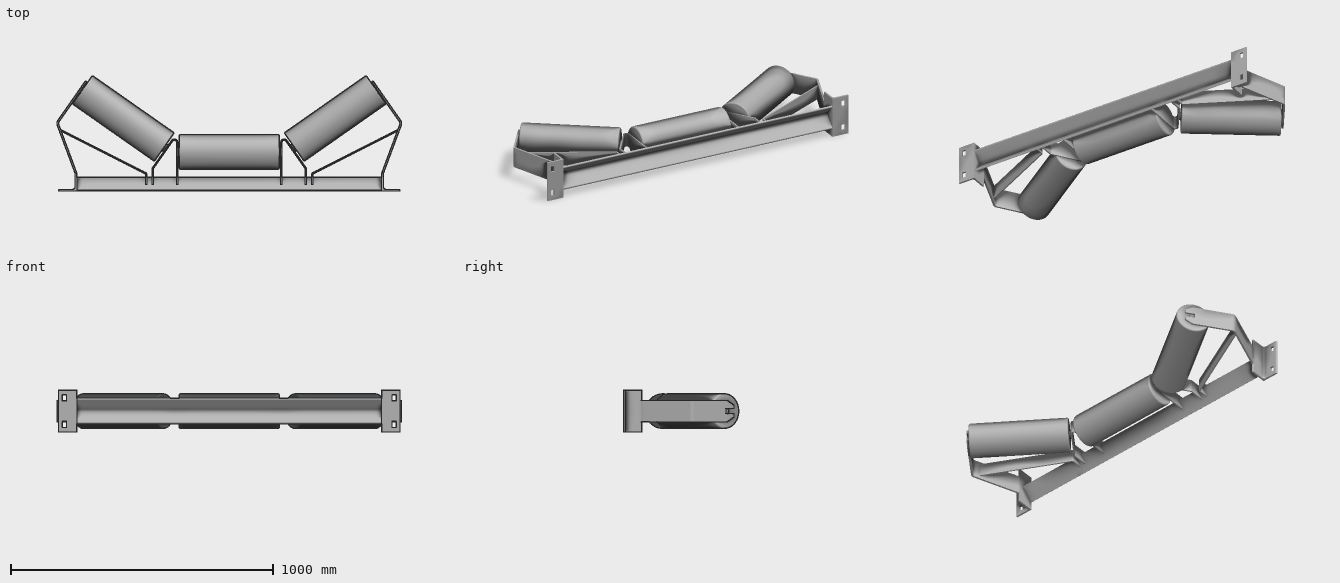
import cadquery as cq
import math


overall_length = 1313.0
half_length = overall_length / 2

roller_length = 380.0
roller_diameter = 133.0
rim_fillet = 5.0
shaft_diameter = 32.0
trough_angle = 35.0
centre_roller_y = 150.0
side_roller_x = 403.0
side_roller_y = 277.0
outer_gap = 3.0
inner_gap = 8.0
centre_gap = 5.0

angle_leg = 70.0
angle_thickness = 7.2
angle_root_radius = 9.0
angle_toe_radius = 4.0
beam_half_length = 580.0
beam_apex_y = 54.0

foot_height = 160.0
arm_width = 81.0
knee_outer_radius = 20.0
tip_above_shaft = 34.0
tip_width = 47.0
tip_taper_length = 29.0
shaft_slot_width = 20.0
shaft_slot_depth = 38.0
bolt_slot_width = 16.0
bolt_slot_height = 24.0
bolt_slot_x = 627.0
bolt_slot_z = 50.0

strip_thickness = 5.0
strip_width = 55.0
inner_bend_radius = 10.0
small_bend_radius = 5.0
inner_leg_x = 291.0
brace_leg_x = 316.0
brace_bend_y = 67.0
brace_end_y = 234.0

trough = math.radians(trough_angle)
along = cq.Vector(math.cos(trough), -math.sin(trough))
up = cq.Vector(math.sin(trough), math.cos(trough))
side_roller_centre = cq.Vector(-side_roller_x, side_roller_y)
outer_shaft_reach = roller_length / 2 + outer_gap
inner_shaft_reach = roller_length / 2 + inner_gap
centre_shaft_reach = roller_length / 2 + centre_gap

knee_radius = knee_outer_radius - angle_thickness / 2
arm_mid_reach = outer_shaft_reach + angle_thickness / 2
foot_mid_x = -beam_half_length - angle_thickness / 2
arm_start = cq.Vector(foot_mid_x, angle_leg)
knee_centre_x = -half_length + knee_outer_radius
knee_rise = (
    arm_mid_reach - knee_radius + (knee_centre_x + side_roller_x) * along.x
) / -along.y
knee_centre = cq.Vector(knee_centre_x, side_roller_y + knee_rise)
arm_run = knee_centre - arm_start
arm_tilt = math.atan2(-arm_run.x, arm_run.y) + math.asin(knee_radius / arm_run.Length)
knee_bisector = (trough - arm_tilt) / 2
knee_reach = knee_radius / math.cos((trough + arm_tilt) / 2)
knee = knee_centre + cq.Vector(-math.cos(knee_bisector), math.sin(knee_bisector)) * knee_reach
arm_shaft_point = side_roller_centre - along * arm_mid_reach
arm_tip = arm_shaft_point + up * tip_above_shaft


def mirror_to_side(body, side):
    """Return a body built on the left (side -1), or its mirror image on the right."""
    return body if side < 0 else body.mirror("YZ")


def bent_strip(points, bend_radii, thickness, width):
    """Flat strip along a mid-line of straight runs, with a round bend at each inner point."""
    points = [cq.Vector(point) for point in points]
    runs = [(end - start).normalized() for start, end in zip(points, points[1:])]
    normals = [cq.Vector(-run.y, run.x) for run in runs]

    def edge(offset):
        """One face of the strip: its start, its bends as (start, middle, end), and its end."""
        bends = []
        for i, radius in enumerate(bend_radii):
            turn = math.atan2(runs[i].cross(runs[i + 1]).z, runs[i].dot(runs[i + 1]))
            tangent_length = radius * math.tan(abs(turn) / 2)
            side = math.copysign(1, turn)
            first = points[i + 1] - runs[i] * tangent_length
            last = points[i + 1] + runs[i + 1] * tangent_length
            centre = first + normals[i] * (side * radius)
            middle_normal = (normals[i] + normals[i + 1]).normalized()
            middle = centre - middle_normal * (side * radius)
            bends.append((
                first + normals[i] * offset,
                middle + middle_normal * offset,
                last + normals[i + 1] * offset,
            ))
        return points[0] + normals[0] * offset, bends, points[-1] + normals[-1] * offset

    start, bends, end = edge(thickness / 2)
    outline = cq.Workplane("XY").moveTo(start.x, start.y)
    for first, middle, last in bends:
        outline = outline.lineTo(first.x, first.y)
        outline = outline.threePointArc((middle.x, middle.y), (last.x, last.y))
    outline = outline.lineTo(end.x, end.y)

    start, bends, end = edge(-thickness / 2)
    outline = outline.lineTo(end.x, end.y)
    for first, middle, last in reversed(bends):
        outline = outline.lineTo(last.x, last.y)
        outline = outline.threePointArc((middle.x, middle.y), (first.x, first.y))
    outline = outline.lineTo(start.x, start.y)
    return outline.close().extrude(width / 2, both=True)


def angle_bar(length):
    """Rolled angle with its outer corner on the origin and its legs along +X and +Y."""
    bar = (
        cq.Workplane("XY")
        .polyline([
            (0, 0),
            (angle_leg, 0),
            (angle_leg, angle_thickness),
            (angle_thickness, angle_thickness),
            (angle_thickness, angle_leg),
            (0, angle_leg),
        ])
        .close()
        .extrude(length / 2, both=True)
    )
    inner_corner = (angle_thickness, angle_thickness, 0)
    bar = bar.edges(cq.NearestToPointSelector(inner_corner)).fillet(angle_root_radius)
    for toe in [(angle_leg, angle_thickness, 0), (angle_thickness, angle_leg, 0)]:
        bar = bar.edges(cq.NearestToPointSelector(toe)).fillet(angle_toe_radius)
    return bar



def roller():
    end_plane = cq.Workplane("YZ").workplane(offset=-roller_length / 2)
    cylinder = end_plane.circle(roller_diameter / 2).extrude(roller_length).edges().fillet(rim_fillet)
    bore = end_plane.circle(shaft_diameter / 2).extrude(roller_length)
    return cylinder.cut(bore)


def shaft(left_reach, right_reach):
    """Plain round shaft reaching from one supporting plate to the other."""
    return (
        cq.Workplane("YZ")
        .workplane(offset=-left_reach)
        .circle(shaft_diameter / 2)
        .extrude(left_reach + right_reach)
    )


def place_on_side(body, side):
    tilted = body.rotate((0, 0, 0), (0, 0, 1), -trough_angle).translate(side_roller_centre)
    return mirror_to_side(tilted, side)



def inner_bracket():
    """Bent strip between the centre roller and the left side roller."""
    upright_x = -centre_shaft_reach - strip_thickness / 2
    sloped_base = side_roller_centre + along * (inner_shaft_reach + strip_thickness / 2)

    def sloped_point(x):
        return sloped_base + up * ((x - sloped_base.x) / up.x)

    return bent_strip(
        [(-inner_leg_x, 0), sloped_point(-inner_leg_x), sloped_point(upright_x), (upright_x, 0)],
        [small_bend_radius, inner_bend_radius],
        strip_thickness,
        strip_width,
    )


def brace():
    """Bent strip from the beam to the lower arm of the left end support."""
    end_x = foot_mid_x - (brace_end_y - angle_leg) * math.tan(arm_tilt)
    strip = bent_strip(
        [(-brace_leg_x, 0), (-brace_leg_x, brace_bend_y), (end_x, brace_end_y)],
        [small_bend_radius],
        strip_thickness,
        strip_width,
    )
    return strip.cut(arm())


def cross_beam():
    bar = (
        angle_bar(2 * beam_half_length)
        .rotate((0, 0, 0), (0, 0, 1), -135)
        .rotate((0, 0, 0), (0, 1, 0), 90)
        .translate((0, beam_apex_y, 0))
    )
    below_bar = (
        cq.Workplane("YZ")
        .polyline([(beam_apex_y, 0), (0, beam_apex_y), (0, -beam_apex_y)])
        .close()
        .extrude(beam_half_length, both=True)
    )
    for side in (-1, 1):
        for strip in (inner_bracket(), brace()):
            bar = bar.union(mirror_to_side(strip.cut(below_bar), side))
    return bar



def arm():
    return bent_strip(
        [(foot_mid_x, angle_leg / 2), arm_start, knee, arm_tip],
        [small_bend_radius, knee_radius],
        angle_thickness,
        arm_width,
    )


def arm_tip_cuts():
    """Tapered corners and the open shaft slot, cut straight through the arm tip."""
    tip_plane = cq.Plane(origin=arm_tip.toTuple(), xDir=(0, 0, -1), normal=along.toTuple())
    slot = (
        cq.Workplane(tip_plane)
        .rect(shaft_slot_width, 2 * shaft_slot_depth)
        .extrude(angle_thickness, both=True)
    )
    tip_edge = tip_width / 2
    side_edge = arm_width / 2
    corner = (
        cq.Workplane(tip_plane)
        .polyline([(tip_edge, 0), (side_edge, 0), (side_edge, -tip_taper_length)])
        .close()
        .extrude(angle_thickness, both=True)
    )
    return slot.union(corner).union(corner.mirror("XY"))


def end_support(side):
    foot = angle_bar(foot_height).mirror("YZ").translate((-beam_half_length, 0, 0))
    bolt_slots = (
        cq.Workplane("XZ")
        .pushPoints([(-bolt_slot_x, -bolt_slot_z), (-bolt_slot_x, bolt_slot_z)])
        .rect(bolt_slot_width, bolt_slot_height)
        .extrude(angle_leg / 2, both=True)
    )
    support = foot.cut(bolt_slots).union(arm().cut(arm_tip_cuts()))
    return mirror_to_side(support, side)


beam = cross_beam()
end_supports = [end_support(side) for side in (-1, 1)]

centre_position = (0, centre_roller_y, 0)
rollers = [roller().translate(centre_position)]
shafts = [shaft(centre_shaft_reach, centre_shaft_reach).translate(centre_position)]
for side in (-1, 1):
    rollers.append(place_on_side(roller(), side))
    shafts.append(place_on_side(shaft(outer_shaft_reach, inner_shaft_reach), side))

bodies = [beam, *end_supports, *rollers, *shafts]
result = cq.Compound.makeCompound([body.val() for body in bodies])